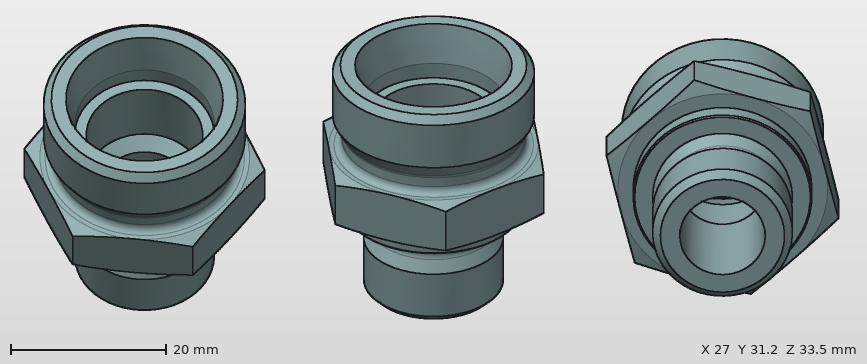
import cadquery as cq
import math

HEIGHT = 33.5
HEX_BOTTOM = 14.5
HEX_TOP = 21.5
COLLAR_BOTTOM = 12.0
STUD_THREAD_TOP = 7.4
TUBE_THREAD_BOTTOM = 26.05

HEX_ACROSS_FLATS = 27.0
HEX_SIDES = 6
STUD_RADIUS = 18.0 / 2
COLLAR_RADIUS = 23.0 / 2
NECK_RADIUS = 23.7 / 2
TUBE_THREAD_RADIUS = 26.0 / 2

THREAD_CHAMFER = 1.0
COLLAR_CHAMFER = 0.2
HEX_FILLET = 1.0
NECK_FILLET = 0.8
RELIEF_ARC_RADIUS = 1.27
RUNOUT_ANGLE = math.radians(30)
RUNOUT_SLOPE = math.tan(RUNOUT_ANGLE)
HEX_CHAMFER_SLOPE = math.tan(math.radians(15))
CORNER_CLEARANCE = 0.35

MOUTH_RADIUS = 20.25 / 2
SOCKET_RADIUS = 18.0 / 2
COUNTERBORE_RADIUS = 15.0 / 2
THROUGH_RADIUS = 11.0 / 2
MOUTH_HALF_ANGLE = math.radians(12)
DRILL_HALF_ANGLE = math.radians(59)
SOCKET_DEPTH = 7.5
COUNTERBORE_BOTTOM = 16.75


def revolve_profile(sketch):
    """Turn a closed radius/height profile about the Z axis."""
    return sketch.close().revolve(360, (0, 0, 0), (0, 1, 0))


def make_stud():
    """Lower thread, its rounded relief groove and the sealing collar."""
    flank_length = (COLLAR_BOTTOM - STUD_THREAD_TOP - RELIEF_ARC_RADIUS) / 2
    arc_end_radius = STUD_RADIUS - flank_length * RUNOUT_SLOPE
    arc_depth = RELIEF_ARC_RADIUS * (1 - math.cos(RUNOUT_ANGLE))
    arc_bottom = STUD_THREAD_TOP + flank_length
    arc_top = COLLAR_BOTTOM - flank_length
    return revolve_profile(
        cq.Workplane("XZ")
        .lineTo(STUD_RADIUS - THREAD_CHAMFER, 0)
        .lineTo(STUD_RADIUS, THREAD_CHAMFER)
        .lineTo(STUD_RADIUS, STUD_THREAD_TOP)
        .lineTo(arc_end_radius, arc_bottom)
        .threePointArc(
            (arc_end_radius - arc_depth, (arc_bottom + arc_top) / 2),
            (arc_end_radius, arc_top),
        )
        .lineTo(STUD_RADIUS, COLLAR_BOTTOM)
        .lineTo(COLLAR_RADIUS - COLLAR_CHAMFER, COLLAR_BOTTOM)
        .lineTo(COLLAR_RADIUS, COLLAR_BOTTOM + COLLAR_CHAMFER)
        .lineTo(COLLAR_RADIUS, HEX_BOTTOM)
        .lineTo(0, HEX_BOTTOM)
    )


def make_hex():
    """Hexagon with corners on Y and both ends chamfered by shallow cones."""
    flat_radius = HEX_ACROSS_FLATS / 2
    corner_radius = flat_radius / math.cos(math.pi / HEX_SIDES)
    cone_radius = corner_radius + CORNER_CLEARANCE
    cone_drop = (cone_radius - flat_radius) * HEX_CHAMFER_SLOPE
    prism = (
        cq.Workplane("XY", origin=(0, 0, HEX_BOTTOM))
        .transformed(rotate=(0, 0, 90))
        .polygon(HEX_SIDES, 2 * corner_radius)
        .extrude(HEX_TOP - HEX_BOTTOM)
    )
    envelope = revolve_profile(
        cq.Workplane("XZ")
        .moveTo(0, HEX_BOTTOM)
        .lineTo(flat_radius, HEX_BOTTOM)
        .lineTo(cone_radius, HEX_BOTTOM + cone_drop)
        .lineTo(cone_radius, HEX_TOP - cone_drop)
        .lineTo(flat_radius, HEX_TOP)
        .lineTo(0, HEX_TOP)
    )
    return prism.intersect(envelope)


def make_tube_end():
    """Neck above the hexagon and the larger thread."""
    neck_top = TUBE_THREAD_BOTTOM - (TUBE_THREAD_RADIUS - NECK_RADIUS) / RUNOUT_SLOPE
    body = revolve_profile(
        cq.Workplane("XZ")
        .moveTo(0, HEX_TOP)
        .lineTo(NECK_RADIUS, HEX_TOP)
        .lineTo(NECK_RADIUS, neck_top)
        .lineTo(TUBE_THREAD_RADIUS, TUBE_THREAD_BOTTOM)
        .lineTo(TUBE_THREAD_RADIUS, HEIGHT - THREAD_CHAMFER)
        .lineTo(TUBE_THREAD_RADIUS - THREAD_CHAMFER, HEIGHT)
        .lineTo(0, HEIGHT)
    )
    neck_edges = body.edges(cq.selectors.RadiusNthSelector(0))
    return neck_edges.edges(">Z").fillet(NECK_FILLET)


def make_hex_fillet():
    """Concave ring blending the neck into the top of the hexagon."""
    mid_offset = HEX_FILLET * (1 - math.sqrt(0.5))
    return revolve_profile(
        cq.Workplane("XZ")
        .moveTo(0, HEX_TOP)
        .lineTo(NECK_RADIUS + HEX_FILLET, HEX_TOP)
        .threePointArc(
            (NECK_RADIUS + mid_offset, HEX_TOP + mid_offset),
            (NECK_RADIUS, HEX_TOP + HEX_FILLET),
        )
        .lineTo(0, HEX_TOP + HEX_FILLET)
    )


def make_bore():
    """Full stepped bore, from the bottom face to the open mouth."""
    taper_depth = (MOUTH_RADIUS - SOCKET_RADIUS) / math.tan(MOUTH_HALF_ANGLE)
    drill_point = (COUNTERBORE_RADIUS - THROUGH_RADIUS) / math.tan(DRILL_HALF_ANGLE)
    return revolve_profile(
        cq.Workplane("XZ")
        .lineTo(THROUGH_RADIUS, 0)
        .lineTo(THROUGH_RADIUS, COUNTERBORE_BOTTOM - drill_point)
        .lineTo(COUNTERBORE_RADIUS, COUNTERBORE_BOTTOM)
        .lineTo(COUNTERBORE_RADIUS, HEIGHT - SOCKET_DEPTH)
        .lineTo(SOCKET_RADIUS, HEIGHT - SOCKET_DEPTH)
        .lineTo(SOCKET_RADIUS, HEIGHT - taper_depth)
        .lineTo(MOUTH_RADIUS, HEIGHT)
        .lineTo(0, HEIGHT)
    )


body = make_stud().union(make_hex()).union(make_tube_end()).union(make_hex_fillet())
result = body.cut(make_bore())